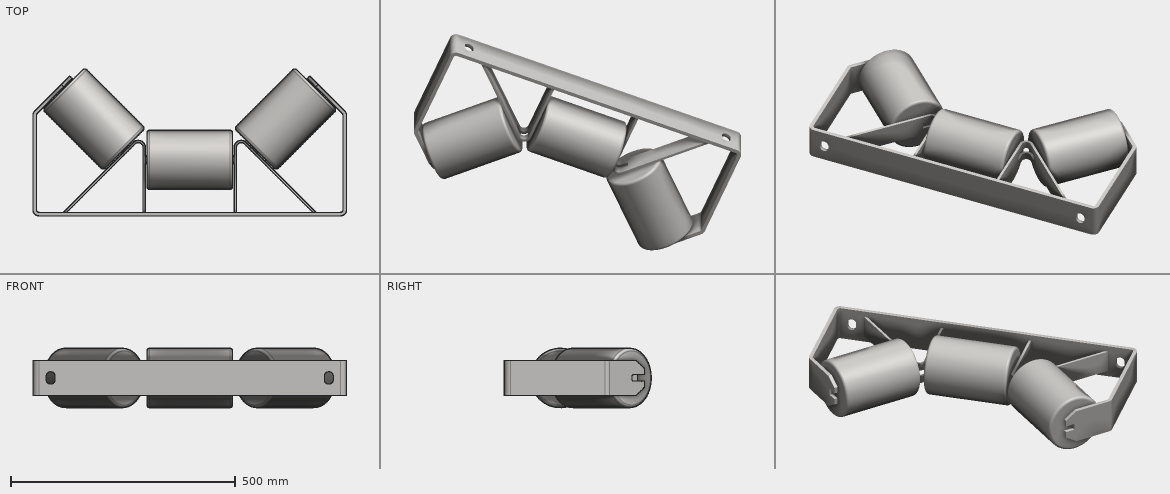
import cadquery as cq
import math


frame_length = 700.0
frame_thickness = 8.5
frame_height = 78.5
frame_bend_radius = 14.0
wall_corner_y = 230.0
arm_length = 116.0
arm_chamfer_along = 26.5
arm_chamfer_across = 17.5

hole_spacing = 620.0
hole_width = 20.0
hole_height = 28.0

roller_diameter = 133.0
roller_length = 191.0
roller_fillet = 6.0
center_roller_y = 125.0
side_roller_x = 213.5
side_roller_y = 216.0
tilt = 45.0

shaft_diameter = 19.5
tip_width = 15.0
tip_depth = 17.5
tip_fillet = 3.5

bracket_thickness = 5.5
bracket_height = 50.5
bracket_bend_radius = 16.0
upright_face_x = 99.0
slope_offset = 290.5

frame_half = frame_length / 2
tilt_sine = math.sin(math.radians(tilt))
arm_step = arm_length * tilt_sine
arm_tip = (arm_step - frame_half, wall_corner_y + arm_step)

arm_outer = (frame_half + wall_corner_y - side_roller_x - side_roller_y) * tilt_sine
arm_inner = arm_outer - frame_thickness
slope_outer = (side_roller_x + side_roller_y - slope_offset) * tilt_sine
slope_inner = slope_outer + bracket_thickness
upright_inner = upright_face_x + bracket_thickness

cut_margin = 7.0
slot_run = 56.0


def mirrored(shape):
    return shape.mirror("YZ")


def on_side_axis(shape):
    """Move a shape from the X axis to the left roller: +X turns toward the arm, -Y to the slot mouth."""
    turned = shape.rotate((0, 0, 0), (0, 0, 1), 180 - tilt)
    return turned.translate((-side_roller_x, side_roller_y, 0))


def on_center_axis(shape):
    """Move a shape from the X axis to the centre roller, turned so that -Y becomes +Y."""
    return shape.rotate((0, 0, 0), (0, 0, 1), 180).translate((0, center_roller_y, 0))


def round_bend(body, outer_corner, inner_corner, outer_radius, thickness):
    """Round the outer and the inner edge of one bend."""
    body = body.edges(cq.NearestToPointSelector((*outer_corner, 0))).fillet(outer_radius)
    inner_edge = cq.NearestToPointSelector((*inner_corner, 0))
    return body.edges(inner_edge).fillet(outer_radius - thickness)


def seat_bar(start, end, run):
    """Flat bar along X that fits a slot's rounded bottom and reaches `run` toward -Y from the shaft axis."""
    bottom = tip_depth / 2
    bar = cq.Workplane("XY").box(end - start, run + bottom, tip_width)
    bar = bar.edges("|X and >Y").fillet(tip_fillet)
    return bar.translate(((start + end) / 2, (bottom - run) / 2, 0))


def frame_bar():
    """Left half of the bent bar, up to the plane X = 0."""
    thickness = frame_thickness
    tip_step = thickness * tilt_sine
    base_outer = (-frame_half, 0)
    base_inner = (thickness - frame_half, thickness)
    wall_outer = (-frame_half, wall_corner_y)
    wall_inner = (thickness - frame_half, wall_corner_y - thickness * math.tan(math.radians(tilt / 2)))
    tip_inner = (arm_tip[0] + tip_step, arm_tip[1] - tip_step)
    outline = [(0, 0), base_outer, wall_outer, arm_tip, tip_inner, wall_inner, base_inner, (0, thickness)]
    bar = cq.Workplane("XY").polyline(outline).close().extrude(frame_height / 2, both=True)
    bar = round_bend(bar, base_outer, base_inner, frame_bend_radius, thickness)
    return round_bend(bar, wall_outer, wall_inner, frame_bend_radius, thickness)


def arm_corner_cutter():
    """The two corners cut off the tip of the left arm."""
    tip_y = -(arm_tip[0] + side_roller_x + arm_tip[1] - side_roller_y) * tilt_sine
    top = frame_height / 2
    triangle = [(tip_y, top), (tip_y + arm_chamfer_along, top), (tip_y, top - arm_chamfer_across)]
    corner = cq.Workplane("YZ").polyline(triangle).close().extrude(arm_outer + cut_margin)
    return on_side_axis(corner.union(corner.mirror("XY")))


def mounting_hole():
    hole = cq.Workplane("XZ").center(-hole_spacing / 2, 0).slot2D(hole_height, hole_width, 90)
    return hole.extrude(-frame_thickness)


def make_frame():
    shaft_slot = on_side_axis(seat_bar(arm_inner - cut_margin, arm_outer + cut_margin, slot_run))
    half = frame_bar().cut(arm_corner_cutter()).cut(shaft_slot).cut(mounting_hole())
    return half.union(mirrored(half))


def make_bracket():
    """Left bracket, standing on the base; one slot runs over its bend from shaft to shaft."""
    base_y = frame_thickness
    inner_offset = slope_offset - bracket_thickness / tilt_sine
    bend_outer = (-upright_face_x, slope_offset - upright_face_x)
    bend_inner = (-upright_inner, inner_offset - upright_inner)
    outline = [
        (-upright_face_x, base_y),
        bend_outer,
        (base_y - slope_offset, base_y),
        (base_y - inner_offset, base_y),
        bend_inner,
        (-upright_inner, base_y),
    ]
    bracket = cq.Workplane("XY").polyline(outline).close().extrude(bracket_height / 2, both=True)
    bracket = round_bend(bracket, bend_outer, bend_inner, bracket_bend_radius, bracket_thickness)
    bend_inner_end = upright_face_x + 2 * bracket_bend_radius
    upright_slot = on_center_axis(seat_bar(upright_face_x, bend_inner_end, slot_run))
    slope_slot = on_side_axis(seat_bar(-slope_inner, -slope_outer, slot_run))
    return bracket.cut(upright_slot).cut(slope_slot)


def make_roller(start_tip, start_stub, end_stub, end_tip):
    """Roller and shaft along X, centred on the origin; the round stubs end where the tips enter the slots."""
    drum = cq.Workplane("YZ").circle(roller_diameter / 2).extrude(roller_length)
    drum = drum.edges().fillet(roller_fillet).translate((-roller_length / 2, 0, 0))
    stub = cq.Workplane("YZ").circle(shaft_diameter / 2).extrude(start_stub + end_stub)
    tips = seat_bar(-start_tip, end_tip, tip_depth / 2)
    return drum.union(stub.translate((-start_stub, 0, 0))).union(tips)


frame = make_frame()

left_bracket = make_bracket()
brackets = [left_bracket, mirrored(left_bracket)]

center_roller = on_center_axis(make_roller(upright_inner, upright_face_x, upright_face_x, upright_inner))
left_roller = on_side_axis(make_roller(slope_inner, slope_outer, arm_inner, arm_outer))
rollers = [center_roller, left_roller, mirrored(left_roller)]

result = cq.Compound.makeCompound([body.solids().val() for body in [frame, *brackets, *rollers]])